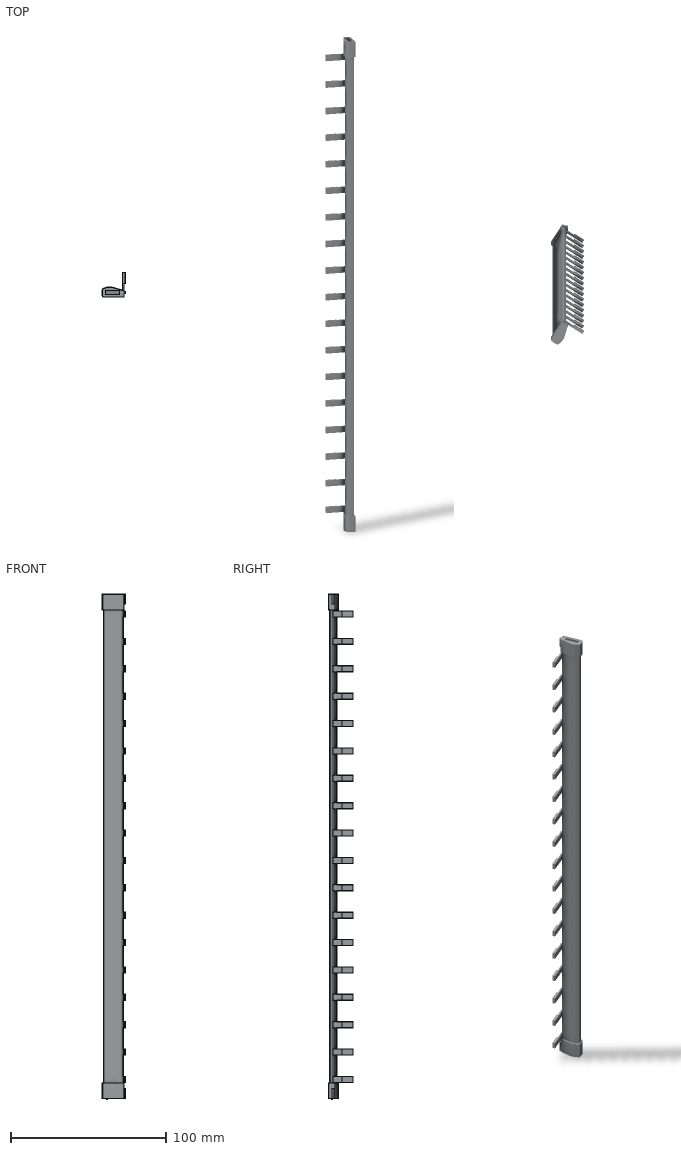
import cadquery as cq

WIDTH = 14.83
DEPTH = 15.88
HEIGHT = 325.8

PIN_DIAMETER = 0.7
PIN_LENGTH = 0.5
PIN_ROOT = 1.0
PIN_X = 3.0
PIN_Y = 2.3

CAP_LENGTH = 10.2
CAP_WIDTH = 14.1
CAP_BACK_RIGHT = 4.1
CAP_BACK_LEFT = 5.3
CAP_BACK_CREST = 6.4
CREST_START = 3.2
CREST_END = 6.2
CAP_LEFT_RADIUS = 0.9
CAP_RIGHT_RADIUS = 0.4
CAP_BOTTOM = PIN_LENGTH

CAP_WALL = 0.8
RAIL_BACK_CREST = 5.4
RAIL_BACK_LEFT = 4.6
RAIL_LEFT_RADIUS = 0.5
RAIL_RIGHT = 13.7
RAIL_RIGHT_RADIUS = 1.0
RAIL_OVERLAP = 1.0

RIB_LENGTH = 6.5
RIB_FRONT = 2.2
RIB_THICKNESS = 1.5

SLOT_LEFT = 2.0
SLOT_LENGTH = 9.0
SLOT_FRONT = 1.7
SLOT_WIDTH = 2.5
SLOT_DEPTH = 1.0

BLADE_COUNT = 18
BLADE_PITCH = 17.65
BLADE_HEIGHT = 4.0
BLADE_ROOT_THICKNESS = 1.0
BLADE_TIP_THICKNESS = 1.8
BLADE_TIP_LENGTH = 7.2
BLADE_TIP_RADIUS = 0.3
BLADE_ROOT_Y = 3.0


def extrude_outline(outline, bottom, length):
    """Upright prism on a closed outline of (x, y) points."""
    return cq.Workplane("XY").workplane(offset=bottom).polyline(outline).close().extrude(length)


def block(x, y, z, size_x, size_y, size_z):
    """Box with its lowest corner at (x, y, z)."""
    return cq.Workplane("XY").box(size_x, size_y, size_z, centered=False).translate((x, y, z))


def make_cap(bottom):
    """End cap with rounded long edges."""
    outline = [
        (0, 0),
        (CAP_WIDTH, 0),
        (CAP_WIDTH, CAP_BACK_RIGHT),
        (CREST_END, CAP_BACK_CREST),
        (CREST_START, CAP_BACK_CREST),
        (0, CAP_BACK_LEFT),
    ]
    cap = extrude_outline(outline, bottom, CAP_LENGTH)
    cap = cap.faces("<X").edges("|Z").fillet(CAP_LEFT_RADIUS)
    return cap.faces(">X").edges("|Z").fillet(CAP_RIGHT_RADIUS)


def make_rail():
    """Rail running between the caps and reaching a little way into each."""
    outline = [
        (CAP_WALL, CAP_WALL),
        (RAIL_RIGHT, CAP_WALL),
        (RAIL_RIGHT, CAP_BACK_RIGHT - CAP_WALL),
        (CREST_END, RAIL_BACK_CREST),
        (CREST_START, RAIL_BACK_CREST),
        (CAP_WALL, RAIL_BACK_LEFT),
    ]
    start = CAP_BOTTOM + CAP_LENGTH - RAIL_OVERLAP
    end = HEIGHT - CAP_LENGTH + RAIL_OVERLAP
    rail = extrude_outline(outline, start, end - start)
    rail = rail.faces("<X").edges("|Z").fillet(RAIL_LEFT_RADIUS)
    return rail.faces(">X").edges("|Z").fillet(RAIL_RIGHT_RADIUS)


def make_rib(bottom):
    """Short rib standing out from the +X side of a cap."""
    start_x = CAP_WIDTH - CAP_RIGHT_RADIUS
    return block(start_x, RIB_FRONT, bottom, WIDTH - start_x, RIB_THICKNESS, RIB_LENGTH)


def make_blade(mid_z):
    """Flat blade rooted in the rail, stepping out towards +X at its tip."""
    left = WIDTH - BLADE_TIP_THICKNESS
    bottom = mid_z - BLADE_HEIGHT / 2
    tip_start = DEPTH - BLADE_TIP_LENGTH
    tip = block(left, tip_start, bottom, BLADE_TIP_THICKNESS, BLADE_TIP_LENGTH, BLADE_HEIGHT)
    tip = tip.faces(">Y").edges("<X").fillet(BLADE_TIP_RADIUS)
    root_length = tip_start - BLADE_ROOT_Y
    root = block(left, BLADE_ROOT_Y, bottom, BLADE_ROOT_THICKNESS, root_length, BLADE_HEIGHT)
    return root.union(tip)


def make_slot():
    """Cutter for the slot in the upper end face."""
    return block(SLOT_LEFT, SLOT_FRONT, HEIGHT - SLOT_DEPTH, SLOT_LENGTH, SLOT_WIDTH, SLOT_DEPTH)


def make_pin():
    """Small round pin below the lower cap."""
    pin = cq.Workplane("XY").circle(PIN_DIAMETER / 2).extrude(PIN_LENGTH + PIN_ROOT)
    return pin.translate((PIN_X, PIN_Y, 0))


result = make_rail()
result = result.union(make_cap(CAP_BOTTOM)).union(make_cap(HEIGHT - CAP_LENGTH))
result = result.union(make_rib(CAP_BOTTOM)).union(make_rib(HEIGHT - RIB_LENGTH))
for index in range(BLADE_COUNT):
    offset = (index - (BLADE_COUNT - 1) / 2) * BLADE_PITCH
    result = result.union(make_blade(HEIGHT / 2 + offset))
result = result.union(make_pin()).cut(make_slot())